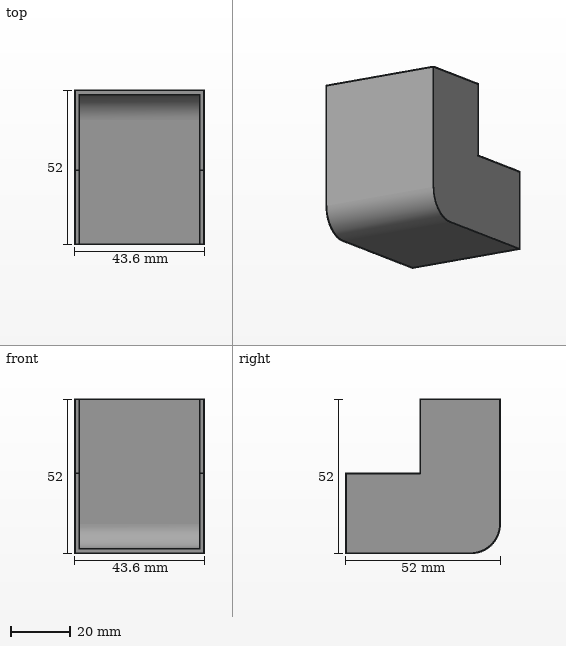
import cadquery as cq

outer_width = 43.6
leg_length = 52.0
leg_depth = 27.0
wall = 1.5
outer_bend_radius = 10.0
inner_bend_radius = outer_bend_radius - wall

inner_width = outer_width - 2 * wall
half_length = leg_length / 2


def elbow_prism(inset, bend_radius, width):
    """L-shaped prism centred on X, with its back and floor moved inward by inset."""
    back = half_length - inset
    floor = -half_length + inset
    front = -half_length
    top = half_length
    step_y = half_length - leg_depth
    step_z = -half_length + leg_depth
    profile = (
        cq.Workplane("YZ")
        .moveTo(front, floor)
        .lineTo(back - bend_radius, floor)
        .radiusArc((back, floor + bend_radius), -bend_radius)
        .lineTo(back, top)
        .lineTo(step_y, top)
        .lineTo(step_y, step_z)
        .lineTo(front, step_z)
        .close()
    )
    return profile.extrude(width / 2, both=True)


outer_body = elbow_prism(0, outer_bend_radius, outer_width)
channel = elbow_prism(wall, inner_bend_radius, inner_width)
result = outer_body.cut(channel)